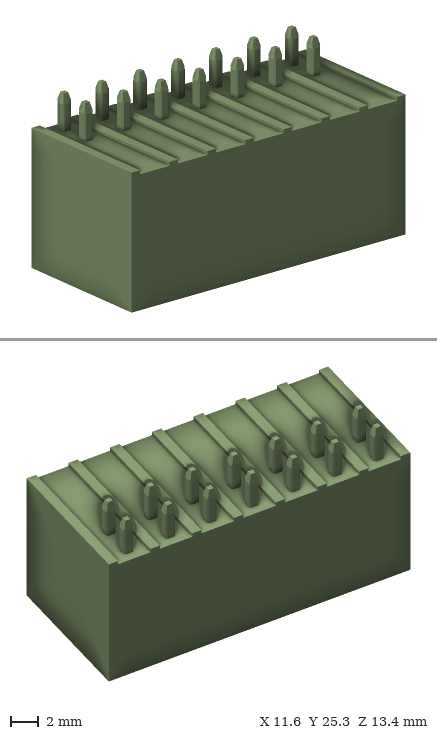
import cadquery as cq

body_width = 11.6
body_length = 25.3
total_height = 13.4
pin_projection = 2.6
body_height = total_height - pin_projection

pole_count = 7
rib_width = 0.78
groove_depth = 0.3
pole_pitch = (body_length - rib_width) / pole_count
groove_width = pole_pitch - rib_width
groove_floor = body_height - groove_depth

pin_size = 0.8
pin_bevel = 0.13
tip_size = 0.4
tip_length = 0.78
first_row_x = 1.11
row_spacing = 2.48
row_positions = [first_row_x, first_row_x + row_spacing]

first_pole_y = -pole_pitch * (pole_count - 1) / 2
pole_positions = [first_pole_y + i * pole_pitch for i in range(pole_count)]


def make_housing():
    """Solid block with one groove per pole running the full width."""
    housing = cq.Workplane("XY").box(
        body_width, body_length, body_height, centered=(False, True, False)
    )
    grooves = (
        cq.Workplane("XY", origin=(body_width / 2, 0, groove_floor))
        .pushPoints([(0, y) for y in pole_positions])
        .rect(body_width, groove_width)
        .extrude(groove_depth)
    )
    return housing.cut(grooves)


def make_pin():
    """One pin standing on Z = 0: a bevelled square post with a pyramidal tip."""
    pin_length = total_height - groove_floor
    shank_length = pin_length - tip_length
    post = (
        cq.Workplane("XY")
        .rect(pin_size, pin_size)
        .extrude(pin_length)
        .edges("|Z")
        .chamfer(pin_bevel)
    )
    shank = cq.Workplane("XY").rect(pin_size, pin_size).extrude(shank_length)
    tip = (
        cq.Workplane("XY", origin=(0, 0, shank_length))
        .rect(pin_size, pin_size)
        .workplane(offset=tip_length)
        .rect(tip_size, tip_size)
        .loft(ruled=True)
    )
    return post.intersect(shank.union(tip))


result = make_housing()
pin = make_pin()
for x in row_positions:
    for y in pole_positions:
        result = result.union(pin.translate((x, y, groove_floor)))